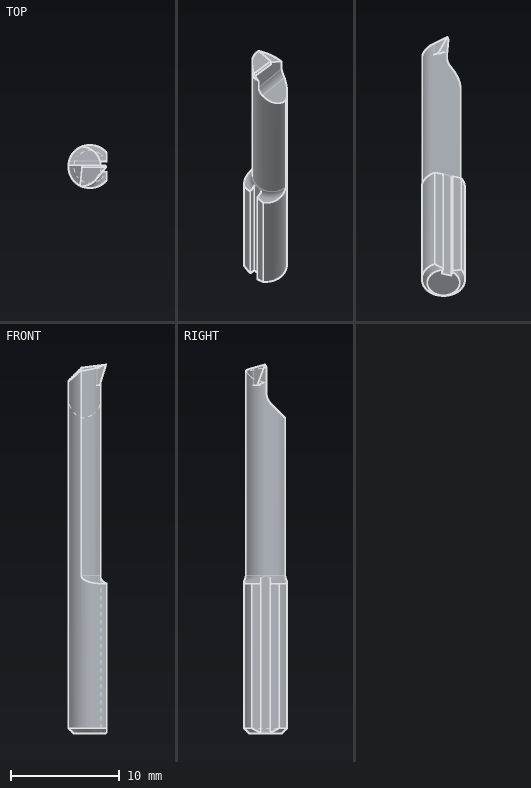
import cadquery as cq
import math

length = 34.0
shank_radius = 2.0
flat_x = 1.55
end_chamfer = 0.5

neck_center_x = -0.82
neck_radius = math.sqrt(shank_radius**2 - neck_center_x**2)
neck_x_max = neck_center_x + neck_radius
neck_floor_z = 13.8
neck_fillet = 0.8

groove_width = 0.92

chip_face_y = 0.1
chip_corner_z = 30.8
chip_slope = 45.0
chip_blend = 1.4

tip_x = 1.5
tip_y = -0.05
tip_root_x = 0.55
tip_root_y = -math.sqrt(neck_radius**2 - (tip_root_x - neck_center_x) ** 2)
tip_bottom_z = 32.1
tip_taper = 17.0

rake_angle = 58.0
rake_start_x = -0.65

end_angle = 7.0
end_clearance = 10.0
back_corner_x = -0.73
back_angle = 45.0
back_clearance = 5.0

reach = 10.0


def tangent(degrees):
    return math.tan(math.radians(degrees))


def half_space(point, normal):
    """Large box on the side of a plane that its normal points to."""
    plane = cq.Plane(origin=point, normal=normal)
    return cq.Workplane(plane).rect(2 * reach, 2 * reach).extrude(reach)


def slab_beyond(x_min, width, height):
    """Block standing on Z = 0, of a given Y width, starting at x_min and reaching past the part."""
    return cq.Workplane("XY").center(x_min + reach / 2, 0).rect(reach, width).extrude(height)


def make_shank():
    bar = cq.Workplane("XY").circle(shank_radius).extrude(length)
    bar = bar.faces("<Z").chamfer(end_chamfer)
    return bar.cut(slab_beyond(flat_x, 2 * reach, length))


def make_neck_relief():
    """Half ring around the +X side of the neck, with a concave fillet at its lower inner corner."""
    top_z = length + reach
    outer_radius = neck_radius + reach
    arc_inset = neck_fillet * (1 - math.sqrt(0.5))
    return (
        cq.Workplane("XZ")
        .moveTo(neck_radius, top_z)
        .lineTo(neck_radius, neck_floor_z + neck_fillet)
        .threePointArc(
            (neck_radius + arc_inset, neck_floor_z + arc_inset),
            (neck_radius + neck_fillet, neck_floor_z),
        )
        .lineTo(outer_radius, neck_floor_z)
        .lineTo(outer_radius, top_z)
        .close()
        .revolve(180, (0, 0, 0), (0, 1, 0))
        .rotate((0, 0, 0), (0, 0, 1), -90)
        .translate((neck_center_x, 0, 0))
    )


def make_groove():
    return slab_beyond(neck_x_max, groove_width, neck_floor_z + neck_fillet)


def make_tip():
    """Wedge on the neck whose leading edge tapers back below the point."""
    wedge = (
        cq.Workplane("XY", origin=(0, 0, tip_bottom_z))
        .moveTo(0, chip_face_y)
        .lineTo(tip_x, chip_face_y)
        .lineTo(tip_x, tip_y)
        .lineTo(tip_root_x, tip_root_y)
        .lineTo(0, tip_root_y)
        .close()
        .extrude(length - tip_bottom_z)
    )
    return wedge.cut(half_space((tip_x, 0, length), (1, 0, -tangent(tip_taper))))


def make_chip_space():
    top_z = length + reach
    slope_drop = reach * tangent(chip_slope)
    space = (
        cq.Workplane("YZ", origin=(-reach, 0, 0))
        .moveTo(chip_face_y, top_z)
        .lineTo(chip_face_y, chip_corner_z)
        .lineTo(chip_face_y + reach, chip_corner_z - slope_drop)
        .lineTo(chip_face_y + reach, top_z)
        .close()
        .extrude(2 * reach)
    )
    corner = cq.selectors.NearestToPointSelector((0, chip_face_y, chip_corner_z))
    return space.edges(corner).fillet(chip_blend)


def make_rake_recess():
    """Slanted cut along the +Y edge of the end face, from the tip back to the recess wall."""
    above_rake = half_space((tip_x, tip_y, length), (-tangent(end_angle), tangent(rake_angle), 1))
    return above_rake.cut(half_space((rake_start_x, 0, length), (-1, 0, 0)))


def make_end_cut():
    return half_space((tip_x, tip_y, length), (-tangent(end_angle), -tangent(end_clearance), 1))


def make_back_cut():
    corner_z = length - (tip_x - back_corner_x) * tangent(end_angle)
    return half_space(
        (back_corner_x, tip_y, corner_z),
        (-tangent(back_angle), -tangent(back_clearance), 1),
    )


result = make_shank().cut(make_neck_relief()).cut(make_groove()).union(make_tip())
for cutter in (make_chip_space(), make_rake_recess(), make_end_cut(), make_back_cut()):
    result = result.cut(cutter)